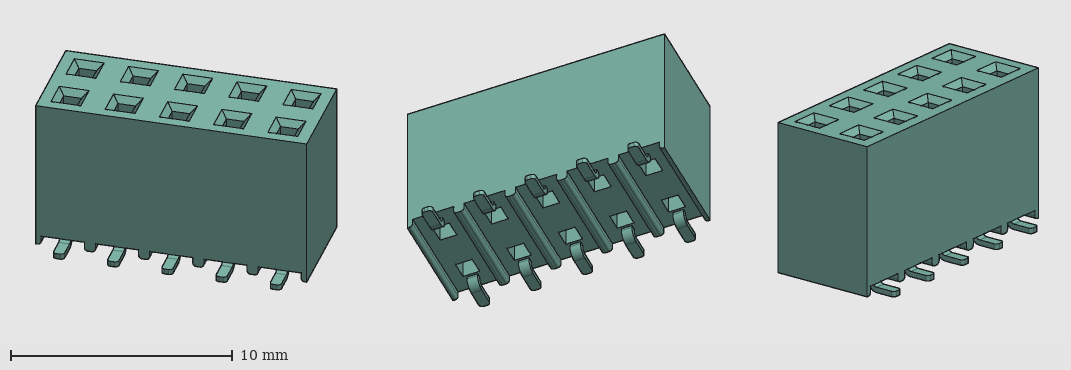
import cadquery as cq

columns = 5
pitch = 2.54
column_places = [(i - (columns - 1) / 2) * pitch for i in range(columns)]
socket_shift = -0.032
row_places = [socket_shift - pitch / 2, socket_shift + pitch / 2]

housing_length = columns * pitch
housing_width = 2 * pitch
housing_top = 7.4
foot_bottom = 0.15
floor_height = 0.6
foot_width = 0.52
foot_radius = 0.18

socket_size = 0.83
mouth_size = 1.4
mouth_depth = 0.29

lead_span = 6.6
lead_width = 0.52
lead_thickness = 0.27
lead_tip_radius = 0.17
inner_bend_radius = 0.22
outer_bend_radius = inner_bend_radius + lead_thickness
tail_inset = 0.45
tail_embed = 0.13


def make_housing():
    """Block with through channels underneath, leaving rounded feet between the columns."""
    block = cq.Workplane("XY").box(
        housing_length, housing_width, housing_top - foot_bottom, centered=(True, True, False)
    ).translate((0, 0, foot_bottom))
    channel_half = (pitch - foot_width) / 2
    channel = (
        cq.Workplane("XZ")
        .moveTo(-channel_half - foot_radius, foot_bottom)
        .radiusArc((-channel_half, foot_bottom + foot_radius), -foot_radius)
        .lineTo(-channel_half, floor_height)
        .lineTo(channel_half, floor_height)
        .lineTo(channel_half, foot_bottom + foot_radius)
        .radiusArc((channel_half + foot_radius, foot_bottom), -foot_radius)
        .close()
        .extrude(housing_width / 2, both=True)
    )
    for x in column_places:
        block = block.cut(channel.translate((x, 0, 0)))
    return block


def make_socket():
    """Square through hole with a tapered lead-in at the top."""
    hole = cq.Workplane("XY").rect(socket_size, socket_size).extrude(housing_top)
    mouth = (
        cq.Workplane("XY", origin=(0, 0, housing_top - mouth_depth))
        .rect(socket_size, socket_size)
        .workplane(offset=mouth_depth)
        .rect(mouth_size, mouth_size)
        .loft(ruled=True)
    )
    return hole.union(mouth)


def make_lead():
    """Flat foot toward -Y, bent up into an upright tail that enters the housing floor."""
    tip = -lead_span / 2
    tail_outer = -housing_width / 2 + tail_inset
    tail_inner = tail_outer + lead_thickness
    bend_start = tail_outer - inner_bend_radius
    tail_top = floor_height + tail_embed
    lead = (
        cq.Workplane("YZ")
        .moveTo(tip, 0)
        .lineTo(bend_start, 0)
        .radiusArc((tail_inner, outer_bend_radius), -outer_bend_radius)
        .lineTo(tail_inner, tail_top)
        .lineTo(tail_outer, tail_top)
        .lineTo(tail_outer, outer_bend_radius)
        .radiusArc((bend_start, lead_thickness), inner_bend_radius)
        .lineTo(tip, lead_thickness)
        .close()
        .extrude(lead_width / 2, both=True)
    )
    return lead.faces("<Y").edges("|Z").fillet(lead_tip_radius)


result = make_housing()

socket = make_socket()
for x in column_places:
    for y in row_places:
        result = result.cut(socket.translate((x, y, 0)))

front_lead = make_lead()
back_lead = front_lead.mirror("XZ")
for x in column_places:
    result = result.union(front_lead.translate((x, 0, 0)))
    result = result.union(back_lead.translate((x, 0, 0)))